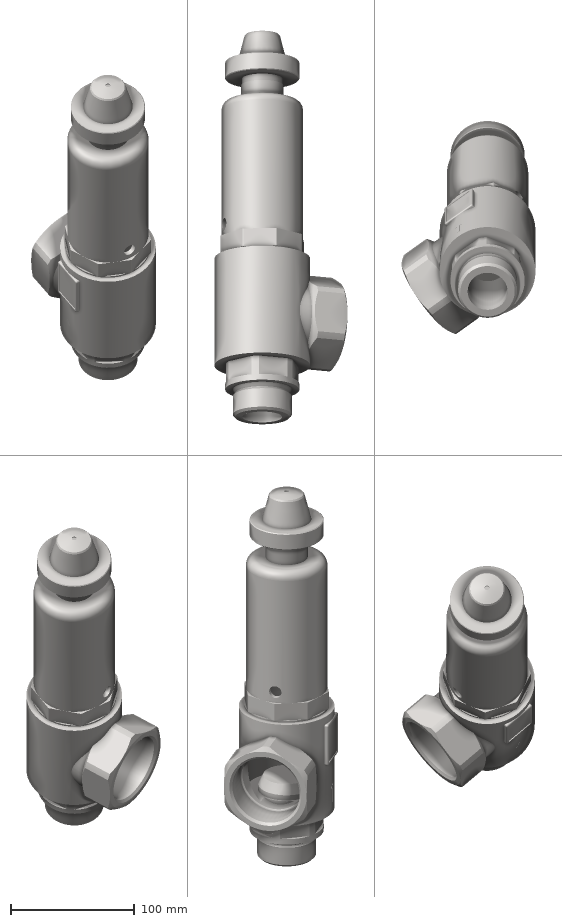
import cadquery as cq
import math

TOTAL_HEIGHT = 324.0
THREAD_TOP = 17.5
GROOVE_BOTTOM = 18.8
GROOVE_TOP = 19.8
INLET_FLANGE_BOTTOM = 23.0
INLET_HEX_BOTTOM = 28.0
HOUSING_BOTTOM = 43.5
SEAT_FLANGE_TOP = 59.3
SEAT_TOP = 63.0
DISC_TOP = 72.0
OUTLET_HEIGHT = 83.3
HOUSING_TOP = 133.5
NUT_BOTTOM = 135.0
NUT_TOP = 150.0
VENT_HEIGHT = 159.5
BONNET_TOP = 266.0
SLEEVE_TOP = 279.5
WHEEL_BOTTOM = 285.0
WHEEL_TOP = 299.5
CONE_TOP = 320.8
DOME_EDGE = 322.0

HEX_SIDES = 6

THREAD_RADIUS = 24.0
THREAD_CHAMFER = 2.0
GROOVE_RADIUS = 22.5
INLET_HEX_RADIUS = 30.0
INLET_HEX_WIDTH = 55.0
SEAT_FLANGE_RADIUS = 25.0
SEAT_RADIUS = 23.3
INLET_BORE_RADIUS = 16.2

DISC_TOP_RADIUS = 19.0
DISC_RIM_HEIGHT = 1.0

HOUSING_RADIUS = 39.0
HOUSING_BORE_RADIUS = 33.0
OUTLET_FACE_REACH = 61.2
OUTLET_HEX_RADIUS = 39.0
OUTLET_HEX_WIDTH = 70.0
OUTLET_FACE_RADIUS = 35.0
OUTLET_FRONT_CHAMFER = 2.3
OUTLET_BACK_CHAMFER = 4.5
OUTLET_HEX_LENGTH = 29.8
NECK_RADIUS = 32.7
OUTLET_THREAD_RADIUS = 28.5
OUTLET_THREAD_LENGTH = 25.3
OUTLET_ENTRY_RADIUS = 30.5
OUTLET_BORE_RADIUS = 27.2

PLATE_WIDTH = 28.5
PLATE_HEIGHT = 36.3
PLATE_CENTER_HEIGHT = 108.5
PLATE_REACH = 39.5
PLATE_CORNER_RADIUS = 1.5
PLATE_EDGE_FILLET = 1.3
PLATE_RIM = 2.3
PLATE_RECESS_DEPTH = 0.5
ARROW_RELIEF = 0.15
ARROW_BOTTOM = 53.0
ARROW_NECK = 65.5
ARROW_TIP = 71.3
ARROW_SHAFT_WIDTH = 2.5
ARROW_HEAD_WIDTH = 6.5

BONNET_RADIUS = 33.0
BONNET_FILLET = 7.0
COLLAR_RADIUS = 34.5
NUT_SIDES = 8
NUT_CORNER_RADIUS = 35.5
BONNET_BORE_RADIUS = 29.0
BONNET_ROOF = 7.0
VENT_RADIUS = 5.2

SLEEVE_RADIUS = 17.2
HUB_RADIUS = 16.5
WHEEL_RADIUS = 30.0
WHEEL_CHAMFER = 0.5
CONE_BOTTOM_RADIUS = 20.0
CONE_TOP_RADIUS = 14.5
DOME_RADIUS = 13.5
DIMPLE_RADIUS = 2.0
DIMPLE_DEPTH = 1.0


def cylinder(radius, bottom, top):
    """Upright cylinder about Z between two heights."""
    return cq.Workplane("XY").workplane(offset=bottom).circle(radius).extrude(top - bottom)


def prism(sides, flat_width, bottom, top):
    """Regular prism about Z, given across its flats, with a corner towards +X."""
    corner_diameter = flat_width / math.cos(math.pi / sides)
    return cq.Workplane("XY").workplane(offset=bottom).polygon(sides, corner_diameter).extrude(top - bottom)


def turned(points):
    """Solid of revolution about Z from (radius, height) points; the profile closes along the axis."""
    return cq.Workplane("XZ").polyline(points).close().revolve(360, (0, 0, 0), (0, 1, 0))


def turned_about_outlet(points):
    """Solid of revolution about the outlet axis from (x, radius) points."""
    profile = cq.Workplane("XZ", origin=(0, 0, OUTLET_HEIGHT)).polyline(points).close()
    return profile.revolve(360, (0, 0, 0), (1, 0, 0))


def make_nipple():
    """Threaded inlet with an undercut, a flange, a wrench hexagon and the valve seat."""
    chamfered_radius = THREAD_RADIUS - THREAD_CHAMFER
    nipple = turned([
        (0, 0),
        (chamfered_radius, 0),
        (THREAD_RADIUS, THREAD_CHAMFER),
        (THREAD_RADIUS, THREAD_TOP),
        (GROOVE_RADIUS, GROOVE_BOTTOM),
        (GROOVE_RADIUS, GROOVE_TOP),
        (THREAD_RADIUS, INLET_FLANGE_BOTTOM),
        (INLET_HEX_RADIUS, INLET_FLANGE_BOTTOM),
        (INLET_HEX_RADIUS, INLET_HEX_BOTTOM),
        (0, INLET_HEX_BOTTOM),
    ])
    hexagon = prism(HEX_SIDES, INLET_HEX_WIDTH, INLET_HEX_BOTTOM, HOUSING_BOTTOM)
    hexagon = hexagon.intersect(cylinder(INLET_HEX_RADIUS, INLET_HEX_BOTTOM, HOUSING_BOTTOM))
    seat = cylinder(SEAT_FLANGE_RADIUS, HOUSING_BOTTOM, SEAT_FLANGE_TOP)
    seat = seat.union(cylinder(SEAT_RADIUS, SEAT_FLANGE_TOP, SEAT_TOP))
    bore = cylinder(INLET_BORE_RADIUS, 0, SEAT_TOP)
    return nipple.union(hexagon).union(seat).cut(bore)


def make_disc():
    """Disc with a thin rim and a conical side, resting on the seat and closing the inlet."""
    return turned([
        (0, SEAT_TOP),
        (SEAT_RADIUS, SEAT_TOP),
        (SEAT_RADIUS, SEAT_TOP + DISC_RIM_HEIGHT),
        (DISC_TOP_RADIUS, DISC_TOP),
        (0, DISC_TOP),
    ])


def make_outlet():
    """Outlet branch towards -X: a hexagon with rounded corners on a round neck."""
    face = -OUTLET_FACE_REACH
    back = face + OUTLET_HEX_LENGTH
    envelope = turned_about_outlet([
        (face, 0),
        (face, OUTLET_FACE_RADIUS),
        (face + OUTLET_FRONT_CHAMFER, OUTLET_HEX_RADIUS),
        (back - OUTLET_BACK_CHAMFER, OUTLET_HEX_RADIUS),
        (back, NECK_RADIUS),
        (back, 0),
    ])
    hexagon = prism(HEX_SIDES, OUTLET_HEX_WIDTH, 0, OUTLET_HEX_LENGTH)
    hexagon = hexagon.rotate((0, 0, 0), (0, 1, 0), 90).translate((face, 0, OUTLET_HEIGHT))
    neck = turned_about_outlet([(back, 0), (back, NECK_RADIUS), (0, NECK_RADIUS), (0, 0)])
    return hexagon.intersect(envelope).union(neck)


def make_outlet_bore():
    """Outlet thread bore with an entry chamfer, narrowing towards the housing axis."""
    face = -OUTLET_FACE_REACH
    entry_depth = OUTLET_ENTRY_RADIUS - OUTLET_THREAD_RADIUS
    end_depth = OUTLET_THREAD_RADIUS - OUTLET_BORE_RADIUS
    thread_end = face + OUTLET_THREAD_LENGTH
    return turned_about_outlet([
        (face, 0),
        (face, OUTLET_ENTRY_RADIUS),
        (face + entry_depth, OUTLET_THREAD_RADIUS),
        (thread_end, OUTLET_THREAD_RADIUS),
        (thread_end + end_depth, OUTLET_BORE_RADIUS),
        (0, OUTLET_BORE_RADIUS),
        (0, 0),
    ])


def make_plate():
    """Raised name plate on the -Y side with a rim around a shallow recess."""
    plate = (
        cq.Workplane("XZ", origin=(0, 0, PLATE_CENTER_HEIGHT))
        .rect(PLATE_WIDTH, PLATE_HEIGHT)
        .extrude(PLATE_REACH)
        .edges("|Y")
        .fillet(PLATE_CORNER_RADIUS)
        .faces("<Y")
        .edges()
        .fillet(PLATE_EDGE_FILLET)
    )
    recess = (
        cq.Workplane("XZ", origin=(0, PLATE_RECESS_DEPTH - PLATE_REACH, PLATE_CENTER_HEIGHT))
        .rect(PLATE_WIDTH - 2 * PLATE_RIM, PLATE_HEIGHT - 2 * PLATE_RIM)
        .extrude(PLATE_RECESS_DEPTH)
    )
    return plate.cut(recess)


def make_arrow():
    """Raised flow arrow on the -Y side, pointing up."""
    half_shaft = ARROW_SHAFT_WIDTH / 2
    half_head = ARROW_HEAD_WIDTH / 2
    outline = [
        (-half_shaft, ARROW_BOTTOM),
        (half_shaft, ARROW_BOTTOM),
        (half_shaft, ARROW_NECK),
        (half_head, ARROW_NECK),
        (0, ARROW_TIP),
        (-half_head, ARROW_NECK),
        (-half_shaft, ARROW_NECK),
    ]
    return cq.Workplane("XZ").polyline(outline).close().extrude(HOUSING_RADIUS + ARROW_RELIEF)


def make_housing():
    """Round housing with a side outlet, name plate and arrow, hollow above the seat."""
    housing = cylinder(HOUSING_RADIUS, HOUSING_BOTTOM, HOUSING_TOP)
    housing = housing.union(make_outlet()).union(make_plate()).union(make_arrow())
    chamber = cylinder(HOUSING_BORE_RADIUS, SEAT_FLANGE_TOP, HOUSING_TOP)
    seat_hole = cylinder(SEAT_FLANGE_RADIUS, HOUSING_BOTTOM, SEAT_FLANGE_TOP)
    return housing.cut(chamber).cut(make_outlet_bore()).cut(seat_hole)


def make_bonnet():
    """Hollow spring bonnet with an octagonal nut, a collar and vent holes along X."""
    shell = cylinder(BONNET_RADIUS, NUT_TOP, BONNET_TOP).faces(">Z").edges().fillet(BONNET_FILLET)
    octagon = prism(NUT_SIDES, 2 * BONNET_RADIUS, NUT_BOTTOM, NUT_TOP)
    octagon = octagon.intersect(cylinder(NUT_CORNER_RADIUS, NUT_BOTTOM, NUT_TOP))
    chamber = cylinder(BONNET_BORE_RADIUS, HOUSING_TOP, BONNET_TOP - BONNET_ROOF)
    collar = cylinder(COLLAR_RADIUS, HOUSING_TOP, NUT_BOTTOM)
    vent = (
        cq.Workplane("YZ", origin=(0, 0, VENT_HEIGHT))
        .circle(VENT_RADIUS)
        .extrude(BONNET_RADIUS, both=True)
    )
    return shell.union(octagon).union(collar).cut(chamber).cut(vent)


def make_sleeve():
    """Short round guide between the bonnet and the knob."""
    return cylinder(SLEEVE_RADIUS, BONNET_TOP, SLEEVE_TOP)


def make_knob():
    """Lifting knob: hub, round wheel and a cone that ends in a shallow dome."""
    rise = TOTAL_HEIGHT - DOME_EDGE
    depth_below_edge = (DOME_RADIUS**2 - DIMPLE_RADIUS**2 - rise**2) / (2 * rise)
    sphere_radius = math.hypot(DOME_RADIUS, depth_below_edge)
    middle_radius = (DOME_RADIUS + DIMPLE_RADIUS) / 2
    middle_height = DOME_EDGE - depth_below_edge + math.sqrt(sphere_radius**2 - middle_radius**2)
    dimple_floor = TOTAL_HEIGHT - DIMPLE_DEPTH
    rim_radius = WHEEL_RADIUS - WHEEL_CHAMFER
    profile = (
        cq.Workplane("XZ")
        .moveTo(0, SLEEVE_TOP)
        .lineTo(HUB_RADIUS, SLEEVE_TOP)
        .lineTo(HUB_RADIUS, WHEEL_BOTTOM)
        .lineTo(rim_radius, WHEEL_BOTTOM)
        .lineTo(WHEEL_RADIUS, WHEEL_BOTTOM + WHEEL_CHAMFER)
        .lineTo(WHEEL_RADIUS, WHEEL_TOP - WHEEL_CHAMFER)
        .lineTo(rim_radius, WHEEL_TOP)
        .lineTo(CONE_BOTTOM_RADIUS, WHEEL_TOP)
        .lineTo(CONE_TOP_RADIUS, CONE_TOP)
        .lineTo(DOME_RADIUS, DOME_EDGE)
        .threePointArc((middle_radius, middle_height), (DIMPLE_RADIUS, TOTAL_HEIGHT))
        .lineTo(DIMPLE_RADIUS, dimple_floor)
        .lineTo(0, dimple_floor)
        .close()
    )
    return profile.revolve(360, (0, 0, 0), (0, 1, 0))


nipple = make_nipple()
disc = make_disc()
housing = make_housing()
bonnet = make_bonnet()
sleeve = make_sleeve()
knob = make_knob()

result = cq.Compound.makeCompound([
    nipple.val(),
    disc.val(),
    housing.val(),
    bonnet.val(),
    sleeve.val(),
    knob.val(),
])